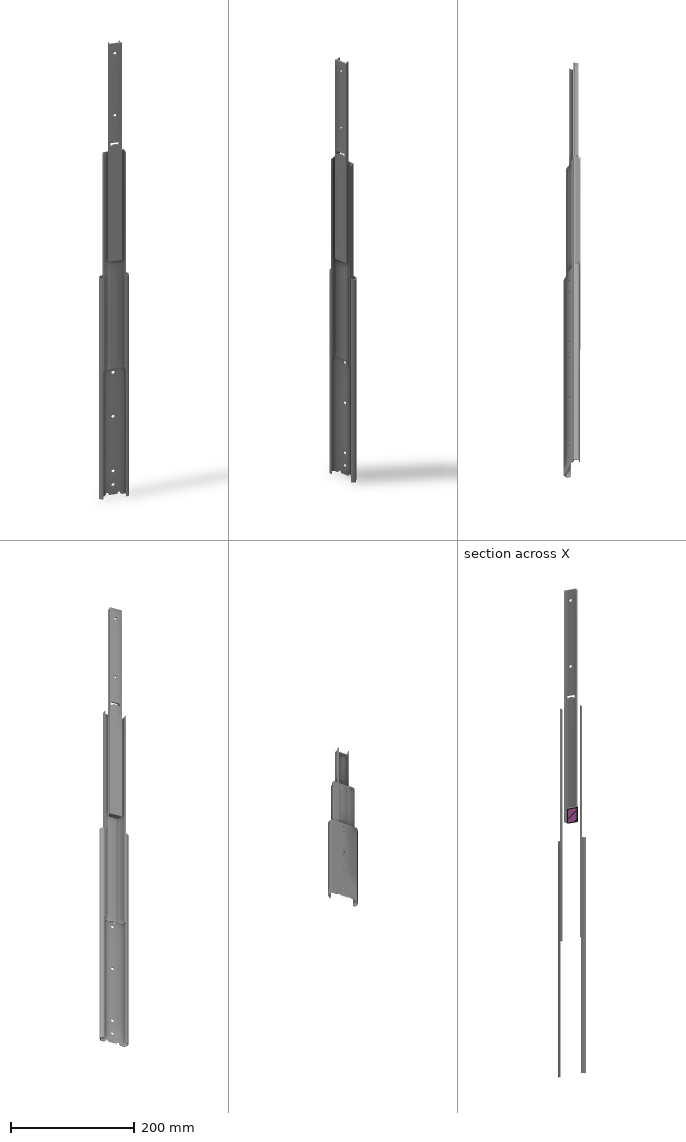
import cadquery as cq
import math


TOTAL_LENGTH = 837.0
RAIL_LENGTH = 400.0
OUTER_LENGTH = 407.0
MIDDLE_TOP = 634.0
BACK_X = -6.4
FRONT_X = 6.4

SHEET = 1.25
OUTER_HALF_WIDTH = 51.0 / 2
SHOULDER_RISE = 3.0
OUTER_WEB_HALF = OUTER_HALF_WIDTH - SHOULDER_RISE
OUTER_SHOULDER_X = -0.4
OUTER_LIP_X = 5.0
LIP_LENGTH = 1.0

MIDDLE_SHEET = 1.0
MIDDLE_WEB_X = -4.0
MIDDLE_CORNER_RADIUS = 1.6
MIDDLE_HALF_WIDTH = 38.0 / 2
MIDDLE_FLANGE_Y = 18.0
MIDDLE_BULGE = 0.2
MIDDLE_CREST_Y = MIDDLE_FLANGE_Y + MIDDLE_BULGE
MIDDLE_WAIST_X = 2.9
MIDDLE_WAIST_Y = MIDDLE_FLANGE_Y - MIDDLE_BULGE
RECESS_DEPTH = 0.7
RECESS_HALF_FLOOR = 6.3
RECESS_SLOPE = 2.5
RECESS_HALF_MOUTH = RECESS_HALF_FLOOR + RECESS_SLOPE

INNER_MOUTH_X = -2.35
INNER_WEB_SHEET = 2.5
INNER_HALF_WIDTH = 23.0 / 2
INNER_MOUTH_HALF = 7.95
INNER_CHANNEL_HALF = 8.0
INNER_FLARE = (3.8, 10.0)
INNER_GROOVE = (1.25, 9.0)
INNER_CREST = (-1.0, 10.0)
INNER_MOUTH_RIM = (INNER_MOUTH_X, 9.0)
INNER_WEB_INSIDE = FRONT_X - INNER_WEB_SHEET
INNER_BOTTOM = TOTAL_LENGTH - RAIL_LENGTH

HOLE_DIAMETER = 5.0
OUTER_END_HOLES = (19.0, 44.0)
OUTER_MIDDLE_HOLES = (145.0, 226.0, 261.0)
INNER_HOLES_FROM_TOP = (18.0, 132.0)

TAB_HALF_WIDTH = 3.8
TAB_BOTTOM = 233.0
TAB_TOP = 241.0
TAB_KERF = 1.0
TAB_SLOT_WIDTH = 2.5
TAB_SLOT_TOP = 253.5

NOTCH_HALF = 12.0
NOTCH_FLARE = 2.9
NOTCH_MOUTH_HALF = NOTCH_HALF + NOTCH_FLARE
NOTCH_STEP_Z = 2.5
NOTCH_TOP_Z = 5.4
STOP_HALF = 7.1
STOP_ROOT_HALF = 9.0
STOP_BEND_Z = 2.9
STOP_BOTTOM_Z = 1.25
STOP_BEND = 1.0

LATCH_HALF_WIDTH = 7.95
LATCH_BOTTOM = 628.0
LATCH_SHOULDER = 648.0
LATCH_TOP = 651.0
LATCH_LEAN = 0.4
WINDOW_GAP = 3.0

STOP_BLOCK_BACK_X = -2.6
STOP_BLOCK_HEIGHT = 25.0


def rail(half_outline, bottom, length):
    """Extrude the +Y half of a profile along Z and join it to its mirror image."""
    half = half_outline.close().extrude(length).translate((0, 0, bottom))
    return half.union(half.mirror("XZ")).clean()


def drill_row(body, heights, x_start, x_end):
    """Cut round holes along X on the centre line at the given heights."""
    for height in heights:
        drill = (
            cq.Workplane("YZ", origin=(x_start, 0, height))
            .circle(HOLE_DIAMETER / 2)
            .extrude(x_end - x_start)
        )
        body = body.cut(drill)
    return body


def block(x_min, x_max, half_width, z_min, z_max):
    """Box centred on Y between the given X and Z limits."""
    return (
        cq.Workplane("XY", origin=((x_min + x_max) / 2, 0, z_min))
        .rect(x_max - x_min, 2 * half_width)
        .extrude(z_max - z_min)
    )


def append_arc(profile, centre, radius, start_angle, end_angle):
    """Append a circular arc between two angles, in degrees, to an open profile."""
    points = []
    for angle in ((start_angle + end_angle) / 2, end_angle):
        turn = math.radians(angle)
        points.append((centre[0] + radius * math.cos(turn), centre[1] + radius * math.sin(turn)))
    return profile.threePointArc(*points)


def outer_rail_profile():
    """Web, sloped shoulder, rounded flange and lip."""
    web_inside = BACK_X + SHEET
    radius = OUTER_LIP_X - OUTER_SHOULDER_X
    centre = (OUTER_SHOULDER_X, OUTER_HALF_WIDTH - radius)
    lip_tip_y = centre[1] - LIP_LENGTH
    profile = (
        cq.Workplane("XY")
        .moveTo(BACK_X, 0)
        .lineTo(BACK_X, OUTER_WEB_HALF)
        .lineTo(OUTER_SHOULDER_X, OUTER_HALF_WIDTH)
    )
    profile = append_arc(profile, centre, radius, 90, 0)
    profile = (
        profile
        .lineTo(OUTER_LIP_X, lip_tip_y)
        .lineTo(OUTER_LIP_X - SHEET, lip_tip_y)
        .lineTo(OUTER_LIP_X - SHEET, centre[1])
    )
    profile = append_arc(profile, centre, radius - SHEET, 0, 90)
    return profile.lineTo(web_inside, OUTER_WEB_HALF - SHEET).lineTo(web_inside, 0)


def lanced_tab_cut():
    """Slot above the tab and the kerf along the tab's top and sides."""
    x_end = BACK_X + SHEET
    surround = block(BACK_X, x_end, TAB_HALF_WIDTH, TAB_BOTTOM, TAB_TOP)
    tab = block(BACK_X, x_end, TAB_HALF_WIDTH - TAB_KERF, TAB_BOTTOM, TAB_TOP - TAB_KERF)
    slot = block(BACK_X, x_end, TAB_SLOT_WIDTH / 2, TAB_TOP - TAB_KERF, TAB_SLOT_TOP)
    return surround.cut(tab).union(slot)


def bottom_notch_cut():
    """Notch in the web's lower edge that leaves a short stop lip in its middle."""
    half = [
        (NOTCH_MOUTH_HALF, 0),
        (NOTCH_HALF, NOTCH_STEP_Z),
        (NOTCH_HALF, NOTCH_TOP_Z),
        (STOP_ROOT_HALF, NOTCH_TOP_Z),
        (STOP_HALF, STOP_BEND_Z),
        (STOP_HALF, STOP_BOTTOM_Z),
    ]
    mirrored = [(-y, z) for y, z in reversed(half)]
    return (
        cq.Workplane("YZ", origin=(BACK_X, 0, 0))
        .polyline(half + mirrored)
        .close()
        .extrude(SHEET)
    )


def stop_slope_cut():
    """Wedge that slopes the face of the stop lip back below its bend."""
    return (
        cq.Workplane("XZ", origin=(0, STOP_HALF, 0))
        .polyline([
            (BACK_X, STOP_BEND_Z),
            (BACK_X + STOP_BEND, STOP_BOTTOM_Z),
            (BACK_X, STOP_BOTTOM_Z),
        ])
        .close()
        .extrude(2 * STOP_HALF)
    )


def make_outer_rail():
    body = rail(outer_rail_profile(), 0, OUTER_LENGTH)
    top_holes = [OUTER_LENGTH - distance for distance in OUTER_END_HOLES]
    heights = [*OUTER_END_HOLES, *OUTER_MIDDLE_HOLES, *top_holes]
    body = drill_row(body, heights, BACK_X, BACK_X + SHEET)
    return body.cut(lanced_tab_cut()).cut(bottom_notch_cut()).cut(stop_slope_cut())


def make_middle_rail():
    """Web with a shallow central recess, rounded corners, bulged flanges and flared lips."""
    floor_x = MIDDLE_WEB_X + RECESS_DEPTH
    corner = (MIDDLE_WEB_X + MIDDLE_CORNER_RADIUS, MIDDLE_FLANGE_Y - MIDDLE_CORNER_RADIUS)
    crest_x = (corner[0] + MIDDLE_WAIST_X) / 2
    profile = (
        cq.Workplane("XY")
        .moveTo(floor_x, 0)
        .lineTo(floor_x, RECESS_HALF_FLOOR)
        .lineTo(MIDDLE_WEB_X, RECESS_HALF_MOUTH)
        .lineTo(MIDDLE_WEB_X, corner[1])
    )
    profile = append_arc(profile, corner, MIDDLE_CORNER_RADIUS, 180, 90)
    profile = (
        profile
        .threePointArc((crest_x, MIDDLE_CREST_Y), (MIDDLE_WAIST_X, MIDDLE_WAIST_Y))
        .lineTo(FRONT_X, MIDDLE_HALF_WIDTH)
        .lineTo(FRONT_X, MIDDLE_HALF_WIDTH - MIDDLE_SHEET)
        .lineTo(MIDDLE_WAIST_X, MIDDLE_WAIST_Y - MIDDLE_SHEET)
        .threePointArc(
            (crest_x, MIDDLE_CREST_Y - MIDDLE_SHEET),
            (corner[0], MIDDLE_FLANGE_Y - MIDDLE_SHEET),
        )
    )
    profile = append_arc(profile, corner, MIDDLE_CORNER_RADIUS - MIDDLE_SHEET, 90, 180)
    profile = (
        profile
        .lineTo(MIDDLE_WEB_X + MIDDLE_SHEET, RECESS_HALF_MOUTH)
        .lineTo(floor_x + MIDDLE_SHEET, RECESS_HALF_FLOOR)
        .lineTo(floor_x + MIDDLE_SHEET, 0)
    )
    return rail(profile, MIDDLE_TOP - RAIL_LENGTH, RAIL_LENGTH)


def make_inner_rail():
    """Channel open toward -X, with grooved sides, flared web edges and a window for the latch."""
    profile = (
        cq.Workplane("XY")
        .moveTo(FRONT_X, 0)
        .lineTo(FRONT_X, INNER_HALF_WIDTH)
        .lineTo(*INNER_FLARE)
        .lineTo(*INNER_GROOVE)
        .lineTo(*INNER_CREST)
        .lineTo(*INNER_MOUTH_RIM)
        .lineTo(INNER_MOUTH_X, INNER_MOUTH_HALF)
        .lineTo(INNER_WEB_INSIDE, INNER_CHANNEL_HALF)
        .lineTo(INNER_WEB_INSIDE, 0)
    )
    body = rail(profile, INNER_BOTTOM, RAIL_LENGTH)
    heights = [TOTAL_LENGTH - distance for distance in INNER_HOLES_FROM_TOP]
    body = drill_row(body, heights, INNER_WEB_INSIDE, FRONT_X)
    window_top = LATCH_TOP + WINDOW_GAP
    window = block(INNER_WEB_INSIDE, FRONT_X, LATCH_HALF_WIDTH, LATCH_BOTTOM, window_top)
    return body.cut(window)


def make_latch():
    """Plate with an arched top and a slightly leaning face."""
    arched = (
        cq.Workplane("YZ", origin=(INNER_WEB_INSIDE, 0, 0))
        .moveTo(-LATCH_HALF_WIDTH, LATCH_BOTTOM)
        .lineTo(LATCH_HALF_WIDTH, LATCH_BOTTOM)
        .lineTo(LATCH_HALF_WIDTH, LATCH_SHOULDER)
        .threePointArc((0, LATCH_TOP), (-LATCH_HALF_WIDTH, LATCH_SHOULDER))
        .close()
        .extrude(INNER_WEB_SHEET)
    )
    lean = (
        cq.Workplane("XZ", origin=(0, LATCH_HALF_WIDTH, 0))
        .polyline([
            (INNER_WEB_INSIDE, LATCH_BOTTOM),
            (INNER_WEB_INSIDE + LATCH_LEAN, LATCH_TOP),
            (INNER_WEB_INSIDE, LATCH_TOP),
        ])
        .close()
        .extrude(2 * LATCH_HALF_WIDTH)
    )
    return arched.cut(lean)


def make_stop_block():
    """Block with tapered sides that fits between the flanges of the inner rail."""
    profile = (
        cq.Workplane("XY")
        .moveTo(INNER_WEB_INSIDE, 0)
        .lineTo(INNER_WEB_INSIDE, INNER_CHANNEL_HALF)
        .lineTo(INNER_MOUTH_X, INNER_MOUTH_HALF)
        .lineTo(STOP_BLOCK_BACK_X, INNER_MOUTH_HALF)
        .lineTo(STOP_BLOCK_BACK_X, 0)
    )
    return rail(profile, INNER_BOTTOM, STOP_BLOCK_HEIGHT)


outer_rail = make_outer_rail()
middle_rail = make_middle_rail()
inner_rail = make_inner_rail()
latch = make_latch()
stop_block = make_stop_block()

result = cq.Compound.makeCompound([
    outer_rail.val(),
    middle_rail.val(),
    inner_rail.val(),
    latch.val(),
    stop_block.val(),
])